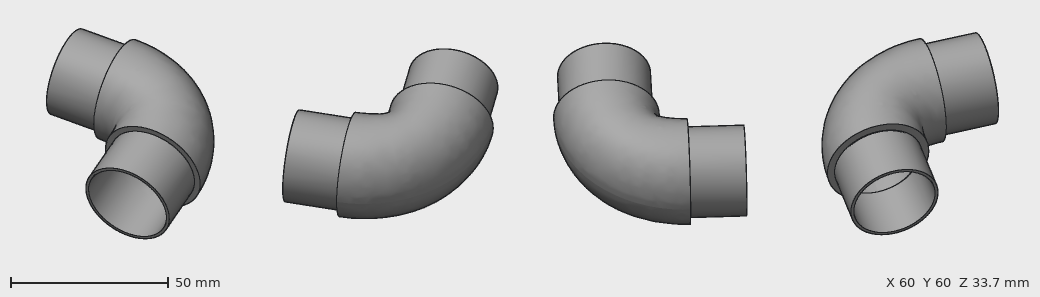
import cadquery as cq
import math


bend_diameter = 33.7
bend_wall = 3.0
overall_length = 60.0
spigot_length = 18.0
outer_reach = overall_length - spigot_length
inner_reach = outer_reach - bend_diameter
inner_corner_radius = 3.0
pipe_offset = outer_reach - bend_diameter / 2
bend_bore_diameter = bend_diameter - 2 * bend_wall

spigot_wall = 1.0
y_spigot_diameter = bend_bore_diameter + 2 * spigot_wall
x_spigot_diameter = 29.0
x_spigot_drop = (y_spigot_diameter - x_spigot_diameter) / 2

section_count = 13
quarter_turn = 90.0


def inside_distance(angle, reach, corner_radius):
    """Distance from the bend axis to the inside wall: two straight runs joined by a rounded corner."""
    from_diagonal = math.radians(angle - quarter_turn / 2)
    from_nearest_end = math.radians(min(angle, quarter_turn - angle))
    arc_centre = reach - corner_radius
    if math.tan(from_nearest_end) * reach <= arc_centre:
        return reach / math.cos(from_nearest_end)
    centre_distance = arc_centre * math.sqrt(2)
    along_ray = centre_distance * math.cos(from_diagonal)
    across_ray = centre_distance * math.sin(from_diagonal)
    return along_ray + math.sqrt(corner_radius**2 - across_ray**2)


def bend_solid(inset):
    """Bend body with its wall moved inwards by inset, lofted through ellipses of equal height."""
    outside = outer_reach - inset
    half_height = bend_diameter / 2 - inset
    sections = []
    for index in range(section_count):
        angle = quarter_turn * index / (section_count - 1)
        inside = inside_distance(angle, inner_reach + inset, inner_corner_radius + inset)
        middle = (outside + inside) / 2
        half_width = (outside - inside) / 2
        radial = cq.Vector(math.cos(math.radians(angle)), math.sin(math.radians(angle)), 0)
        travel = cq.Vector(-radial.y, radial.x, 0)
        ellipse = cq.Wire.makeEllipse(half_width, half_height, radial * middle, travel, radial)
        sections.append(ellipse)
    return cq.Workplane(cq.Solid.makeLoft(sections))


def spigot(centre, direction, diameter):
    """Tube standing on the end face of the bend."""
    face = cq.Workplane(cq.Plane(origin=centre, xDir=(0, 0, 1), normal=direction))
    return face.circle(diameter / 2).circle(diameter / 2 - spigot_wall).extrude(spigot_length)


bend = bend_solid(0).cut(bend_solid(bend_wall))
x_spigot = spigot((0, pipe_offset, -x_spigot_drop), (-1, 0, 0), x_spigot_diameter)
y_spigot = spigot((pipe_offset, 0, 0), (0, -1, 0), y_spigot_diameter)

result = bend.union(x_spigot).union(y_spigot)